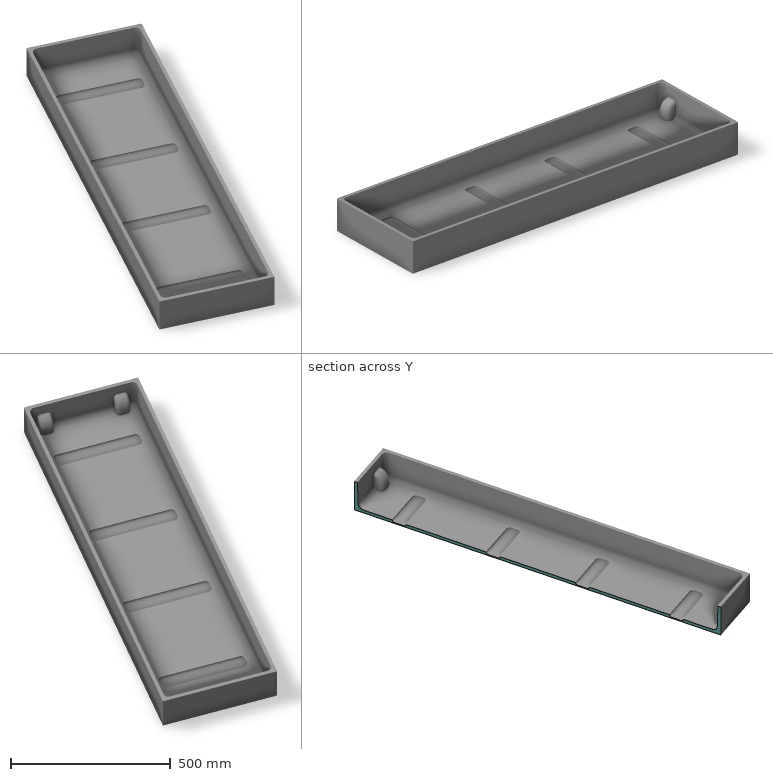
import cadquery as cq
import math

length = 1308.0
depth = 380.0
height = 114.0
wall = 12.0
floor = 13.0
wall_draft = 2.0
cavity_radius = 17.0

groove_length = 284.0
groove_width = 47.0
groove_depth = 8.0
groove_corner = 13.0
groove_floor_radius = 5.0
groove_inner_x = 160.0
groove_outer_x = 495.0

boss_width = 46.0
boss_y = 127.0
boss_front_x = length / 2 - 47.0
boss_round = 40.0
boss_shoulder_z = 37.0
boss_edge_radius = 13.0


def cavity():
    """Drafted pocket with rounded corners, open at the rim."""
    return (
        cq.Workplane("XY", origin=(0, 0, height))
        .rect(length - 2 * wall, depth - 2 * wall)
        .extrude(floor - height, taper=wall_draft)
        .edges("not (|X or |Y)")
        .fillet(cavity_radius)
        .faces("<Z")
        .edges()
        .fillet(cavity_radius)
    )


def groove(x):
    """Rounded rectangular groove with a rounded bottom edge, sunk into the floor."""
    return (
        cq.Workplane("XY", origin=(x, 0, floor))
        .sketch()
        .rect(groove_width, groove_length)
        .vertices()
        .fillet(groove_corner)
        .finalize()
        .extrude(-groove_depth)
        .faces("<Z")
        .edges()
        .fillet(groove_floor_radius)
    )


def boss(y):
    """Boss with an upright front and a quarter-round top that meets the end wall."""
    back_x = boss_front_x + boss_round
    top_z = boss_shoulder_z + boss_round
    diagonal = boss_round * math.cos(math.radians(45))
    root_z = floor / 2
    return (
        cq.Workplane("XZ", origin=(0, y + boss_width / 2, 0))
        .moveTo(boss_front_x, root_z)
        .lineTo(boss_front_x, boss_shoulder_z)
        .threePointArc((back_x - diagonal, boss_shoulder_z + diagonal), (back_x, top_z))
        .lineTo(back_x, root_z)
        .close()
        .extrude(boss_width)
        .faces("<X")
        .edges("|Z")
        .fillet(boss_edge_radius)
    )


result = cq.Workplane("XY").box(length, depth, height, centered=(True, True, False))
result = result.cut(cavity())

for x in (-groove_outer_x, -groove_inner_x, groove_inner_x, groove_outer_x):
    result = result.cut(groove(x))

for y in (-boss_y, boss_y):
    result = result.union(boss(y))